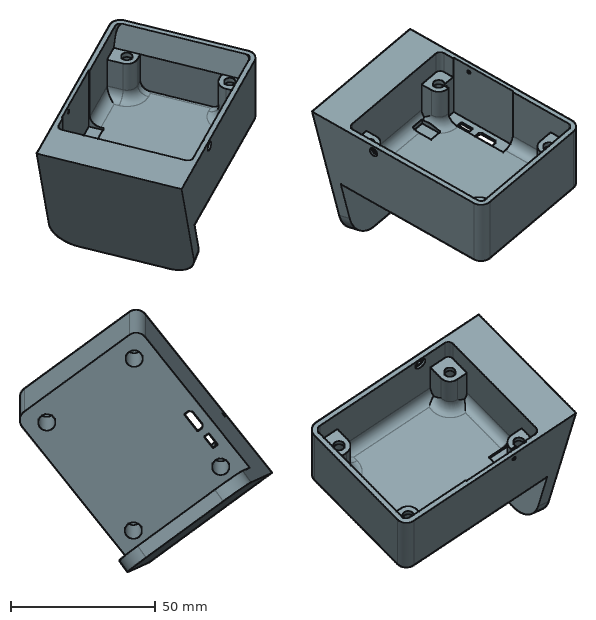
import cadquery as cq
import math

width = 53.7
length = 76.5
box_height = 27.0
wall = 2.0
outer_corner_radius = 4.0

overall_height = 51.9
plate_tilt = math.radians(16)
plate_thickness = 5.0
plate_corner_radius = 10.0

margin = 0.8

cavity_half_width = width / 2 - wall
cavity_front = 14.75
cavity_back = length - wall
cavity_depth = box_height - wall
cavity_corner_radius = 2.0
floor_fillet = 4.0
back_ledge = 3.2

post_top_depth = 9.0
post_x = 19.05
post_front_y = 19.2
post_back_y = 68.6
post_radius = 4.0
post_hole_diameter = 4.0
counterbore_diameter = 6.0
counterbore_roof = 2.0

pocket_sink = 1.0
connector_pocket = (-25.25, -19.65, 20.9, 47.6)
front_pocket = (-13.85, -8.7, 16.05, 24.25)

large_opening = (-23.3, -20.5, 34.3, 41.9)
large_opening_chamfer = 0.8
small_opening = (-23.0, -21.0, 26.15, 31.3)

screw_y = 27.6
screw_depth = 2.8
left_hole_diameter = 1.4
right_hole_diameter = 3.3
right_recess_diameter = 4.4
right_recess_depth = 1.0


def block(bounds, bottom, top):
    """Upright rectangular block between two heights."""
    x_min, x_max, y_min, y_max = bounds
    size = (x_max - x_min, y_max - y_min, top - bottom)
    return cq.Workplane("XY").box(*size, centered=False).translate((x_min, y_min, bottom))


def cylinder_z(x, y, diameter, bottom, top):
    """Vertical cylinder between two heights."""
    return cq.Workplane("XY", origin=(x, y, bottom)).circle(diameter / 2).extrude(top - bottom)


def cylinder_x(diameter, start, end):
    """Cylinder on the cross screw axis between two X positions."""
    plane = cq.Workplane("YZ", origin=(start, screw_y, -screw_depth))
    return plane.circle(diameter / 2).extrude(end - start)


def make_body():
    """Box and tilted plate as one side profile, with rounded corners."""
    slope = math.tan(plate_tilt)
    tip_y = overall_height * slope
    heel_y = tip_y + plate_thickness * math.cos(plate_tilt)
    heel_z = -overall_height + plate_thickness * math.sin(plate_tilt)
    inner_corner_y = box_height * slope + plate_thickness / math.cos(plate_tilt)
    profile = [
        (0, 0),
        (length, 0),
        (length, -box_height),
        (inner_corner_y, -box_height),
        (heel_y, heel_z),
        (tip_y, -overall_height),
    ]
    body = cq.Workplane("YZ").polyline(profile).close().extrude(width / 2, both=True)
    body = body.edges("|Z and >Y").fillet(outer_corner_radius)
    tip = cq.selectors.BoxSelector(
        (-width, tip_y - margin, -overall_height - margin), (width, heel_y + margin, heel_z + margin)
    )
    tip_edges = body.edges(tip).edges(
        cq.selectors.ParallelDirSelector(cq.Vector(0, math.cos(plate_tilt), math.sin(plate_tilt)))
    )
    return tip_edges.fillet(plate_corner_radius)


def make_post(x_side, y, y_side):
    """Space taken by a post: a block into the cavity corner with one round corner."""
    reach = 2 * post_radius
    x_limits = sorted((x_side * (post_x - post_radius), x_side * (cavity_half_width + margin)))
    y_limits = sorted((y - y_side * post_radius, y + y_side * reach))
    post = block((*x_limits, *y_limits), -cavity_depth, -post_top_depth)
    inner_edge = post.edges("|Z").edges("<X" if x_side > 0 else ">X")
    return inner_edge.edges("<Y" if y_side > 0 else ">Y").fillet(post_radius)


def make_flared_foot(x, y):
    """Round post foot whose concave flare blends into the cavity floor."""
    flare_radius = post_radius + floor_fillet
    arc_middle = floor_fillet * (1 - math.sqrt(0.5))
    return (
        cq.Workplane("XZ", origin=(x, y, -cavity_depth))
        .lineTo(flare_radius, 0)
        .threePointArc((post_radius + arc_middle, arc_middle), (post_radius, floor_fillet))
        .lineTo(0, floor_fillet)
        .close()
        .revolve(360, (0, 0), (0, 1))
    )


def make_cavity():
    """Cavity with posts left standing, a filleted floor and a sloped back wall."""
    bounds = (-cavity_half_width, cavity_half_width, cavity_front, cavity_back)
    cavity = block(bounds, -cavity_depth, 0).edges("|Z").fillet(cavity_corner_radius)
    for x_side in (-1, 1):
        cavity = cavity.cut(make_post(x_side, post_back_y, 1))
    cavity = cavity.faces("<Z").edges().fillet(floor_fillet)
    for x_side in (-1, 1):
        cavity = cavity.cut(make_flared_foot(x_side * post_x, post_front_y))
        cavity = cavity.cut(make_post(x_side, post_front_y, -1))
    ledge_y = cavity_back - back_ledge
    back_fill = (
        cq.Workplane("YZ")
        .polyline([
            (cavity_back, 0),
            (ledge_y, -post_top_depth),
            (ledge_y, -box_height),
            (length, -box_height),
            (length, 0),
        ])
        .close()
        .extrude(width / 2, both=True)
    )
    return cavity.cut(back_fill)


def cut_post_holes(body):
    """Through holes in the posts, counterbored from below up to a thin roof."""
    counterbore_top = -post_top_depth - counterbore_roof
    for x in (-post_x, post_x):
        for y in (post_front_y, post_back_y):
            body = body.cut(cylinder_z(x, y, post_hole_diameter, -box_height, -post_top_depth))
            body = body.cut(cylinder_z(x, y, counterbore_diameter, -box_height, counterbore_top))
    return body


def cut_connectors(body):
    """Clearance pockets and the openings through the floor."""
    for pocket in (connector_pocket, front_pocket):
        body = body.cut(block(pocket, -cavity_depth - pocket_sink, 0))
    large = block(large_opening, -box_height, -cavity_depth)
    body = body.cut(large.edges("|Z and <X").chamfer(large_opening_chamfer))
    return body.cut(block(small_opening, -box_height, -cavity_depth))


def cut_cross_screw(body):
    """Small hole in the left wall, stepped hole in the right wall."""
    recess_end = cavity_half_width + right_recess_depth
    body = body.cut(cylinder_x(left_hole_diameter, -width / 2, -cavity_half_width))
    body = body.cut(cylinder_x(right_hole_diameter, cavity_half_width, width / 2))
    return body.cut(cylinder_x(right_recess_diameter, cavity_half_width, recess_end))


result = make_body().cut(make_cavity())
result = cut_post_holes(result)
result = cut_connectors(result)
result = cut_cross_screw(result)